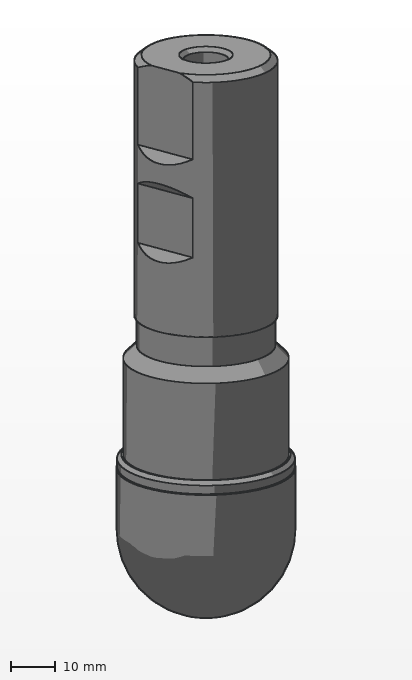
import cadquery as cq
import math

total_length = 131.0

ball_radius = 20.0
head_top_height = total_length - 96.5
seam_chamfer = 0.2

collar_radius = 19.85
collar_top_radius = 18.9
collar_length = 2.9
collar_chamfer = 0.9

body_radius = 37.0 / 2
neck_radius = 31.0 / 2
shank_radius = 32.0 / 2
shank_length = 61.0
neck_length = 7.0
shoulder_height = body_radius - neck_radius
shank_chamfer_width = 1.6
shank_chamfer_height = 1.3

flat_distance = 13.8
flat_depth = shank_radius - flat_distance
upper_flat_length = 19.4
lower_flat_start = 28.5
lower_flat_end = 42.4

hole_radius = 10.0 / 2
hole_mouth_radius = 6.0
hole_depth = 30.0
drill_point_angle = 118.0

shank_bottom = total_length - shank_length
neck_bottom = shank_bottom - neck_length
body_top = neck_bottom - shoulder_height
collar_top = head_top_height + collar_length


def make_head():
    """Hemispherical nose running into a straight cylindrical side."""
    arc_side = ball_radius * math.sin(math.pi / 4)
    return (
        cq.Workplane("XZ")
        .moveTo(0, 0)
        .threePointArc((arc_side, ball_radius - arc_side), (ball_radius, ball_radius))
        .lineTo(ball_radius, head_top_height - seam_chamfer)
        .lineTo(ball_radius - seam_chamfer, head_top_height)
        .lineTo(0, head_top_height)
        .close()
        .revolve(360, (0, 0), (0, 1))
    )


def make_holder_blank():
    return (
        cq.Workplane("XZ")
        .moveTo(0, head_top_height)
        .lineTo(collar_radius, head_top_height)
        .lineTo(collar_radius, collar_top - collar_chamfer)
        .lineTo(collar_top_radius, collar_top)
        .lineTo(body_radius, collar_top)
        .lineTo(body_radius, body_top)
        .lineTo(neck_radius, neck_bottom)
        .lineTo(neck_radius, shank_bottom)
        .lineTo(shank_radius, shank_bottom)
        .lineTo(shank_radius, total_length - shank_chamfer_height)
        .lineTo(shank_radius - shank_chamfer_width, total_length)
        .lineTo(0, total_length)
        .close()
        .revolve(360, (0, 0), (0, 1))
    )


def make_flat_cutter(top, bottom, top_flare):
    """Block outside one flat, sloping out at its bottom end and, by top_flare, at its top end."""
    return (
        cq.Workplane("YZ")
        .moveTo(-flat_distance, bottom)
        .lineTo(-flat_distance, top)
        .lineTo(-shank_radius, top + top_flare)
        .lineTo(-shank_radius, bottom - flat_depth)
        .close()
        .extrude(shank_radius, both=True)
    )


def make_hole_cutter():
    mouth_chamfer = hole_mouth_radius - hole_radius
    hole_bottom = total_length - hole_depth
    point_height = hole_radius / math.tan(math.radians(drill_point_angle / 2))
    return (
        cq.Workplane("XZ")
        .moveTo(0, total_length)
        .lineTo(hole_mouth_radius, total_length)
        .lineTo(hole_radius, total_length - mouth_chamfer)
        .lineTo(hole_radius, hole_bottom)
        .lineTo(0, hole_bottom - point_height)
        .close()
        .revolve(360, (0, 0), (0, 1))
    )


def make_holder():
    upper_flat = make_flat_cutter(total_length, total_length - upper_flat_length, 0)
    lower_flat = make_flat_cutter(total_length - lower_flat_start, total_length - lower_flat_end, flat_depth)
    return make_holder_blank().cut(upper_flat).cut(lower_flat).cut(make_hole_cutter())


head = make_head()
holder = make_holder()
result = cq.Compound.makeCompound([holder.val(), head.val()])